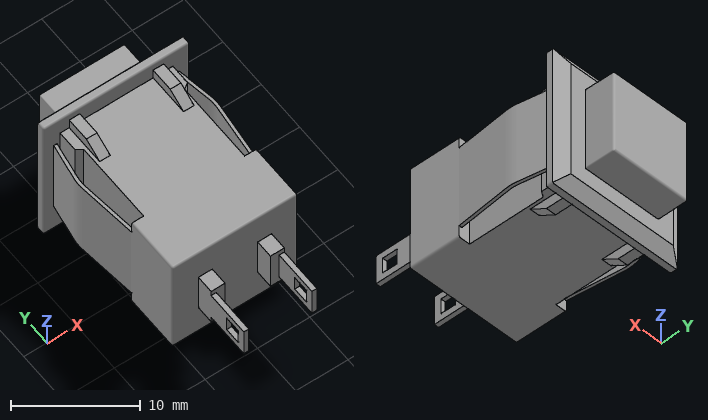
import cadquery as cq
import math


BEZEL_SIZE = 14.0
BEZEL_DEPTH = 1.5
BEZEL_BEVEL_DEPTH = 0.75
BEZEL_BEVEL_WIDTH = 1.27
EDGE_RADIUS = 0.2

BUTTON_SIZE = 8.2
BUTTON_HEIGHT = 3.1
BUTTON_FRONT_RADIUS = 0.2
BUTTON_SIDE_RADIUS = 0.1

HOUSING_LENGTH = 15.47
HOUSING_HEIGHT = 10.4
BASE_WIDTH = 11.99
BASE_LENGTH = 5.33
WAIST_WIDTH = 9.65
SHOULDER_WIDTH = 10.76
SHOULDER_LENGTH = 2.31
SHOULDER_STRAIGHT = 1.92
BASE_FRONT = BASE_LENGTH - HOUSING_LENGTH

RIB_WIDTH = 1.01
RIB_HEIGHT = 1.01
RIB_LENGTH = 3.98
RIB_STRAIGHT = 2.24
RIB_SPACING = 8.0

ARM_THICKNESS = 0.3
ARM_HEIGHT = 8.09
ARM_CREST_X = 6.63
ARM_CREST_Y = -4.1
ARM_BEND_RADIUS = 4.15

TERMINAL_SPAN = 7.0
TERMINAL_LENGTH = 5.93
STEM_WIDTH = 1.33
STEM_HEIGHT = 4.0
STEM_LENGTH = 1.66
BLADE_THICKNESS = 0.5
BLADE_HEIGHT = 2.9
EYE_SIZE = 1.5
EYE_MARGIN = 0.73

SIDES = (-1, 1)


def block(width, height, y_back, y_front):
    """Box centred on X and Z that reaches from y_back to y_front."""
    length = y_front - y_back
    return cq.Workplane("XY").box(width, length, height).translate((0, y_back + length / 2, 0))


def make_bezel():
    rim = block(BEZEL_SIZE, BEZEL_SIZE, 0, BEZEL_DEPTH)
    rim = rim.edges("|Y").fillet(EDGE_RADIUS).faces("<Y").edges().fillet(EDGE_RADIUS)

    shoulder_depth = BEZEL_DEPTH - BEZEL_BEVEL_DEPTH
    bevel_angle = math.degrees(math.atan2(BEZEL_BEVEL_WIDTH, BEZEL_BEVEL_DEPTH))
    bevel = (
        cq.Workplane("XZ", origin=(0, shoulder_depth, 0))
        .rect(BEZEL_SIZE, BEZEL_SIZE)
        .extrude(-BEZEL_BEVEL_DEPTH, taper=bevel_angle)
    )
    bevelled_plate = block(BEZEL_SIZE, BEZEL_SIZE, 0, shoulder_depth).union(bevel)
    return rim.intersect(bevelled_plate)


def make_button():
    button = block(BUTTON_SIZE, BUTTON_SIZE, BEZEL_DEPTH, BEZEL_DEPTH + BUTTON_HEIGHT)
    button = button.faces(">Y").edges().fillet(BUTTON_FRONT_RADIUS)
    return button.edges("|Y").fillet(BUTTON_SIDE_RADIUS)


def make_base():
    base = block(BASE_WIDTH, HOUSING_HEIGHT, -HOUSING_LENGTH, BASE_FRONT)
    return base.edges("|Y or <Y").fillet(EDGE_RADIUS)


def make_front_body():
    """Waist of the housing with the tapered shoulders behind the bezel."""
    waist_x = WAIST_WIDTH / 2
    shoulder_x = SHOULDER_WIDTH / 2
    half_outline = [
        (0, 0),
        (shoulder_x, 0),
        (shoulder_x, -SHOULDER_STRAIGHT),
        (waist_x, -SHOULDER_LENGTH),
        (waist_x, BASE_FRONT),
        (0, BASE_FRONT),
    ]
    half = cq.Workplane("XY").polyline(half_outline).close().extrude(HOUSING_HEIGHT / 2, both=True)
    return half.union(half.mirror("YZ"))


def make_upper_rib(x):
    """Ramped rib on top of the housing, centred at x."""
    z_root = HOUSING_HEIGHT / 2
    z_crest = z_root + RIB_HEIGHT
    profile = [(0, z_root), (0, z_crest), (-RIB_STRAIGHT, z_crest), (-RIB_LENGTH, z_root)]
    rib = cq.Workplane("YZ").polyline(profile).close().extrude(RIB_WIDTH / 2, both=True)
    return rib.translate((x, 0, 0))


def arm_tangent_angle(foot_y):
    """Angle at which the straight leg from foot_y runs into the bend of the arm."""
    foot_dx = BASE_WIDTH / 2 - (ARM_CREST_X - ARM_BEND_RADIUS)
    foot_dy = abs(foot_y - ARM_CREST_Y)
    return math.atan2(foot_dy, foot_dx) - math.acos(ARM_BEND_RADIUS / math.hypot(foot_dx, foot_dy))


def make_arm():
    """Snap arm on the +X side: two straight legs and a rounded bend of constant thickness."""
    foot_x = BASE_WIDTH / 2
    bend_x = ARM_CREST_X - ARM_BEND_RADIUS
    inner_radius = ARM_BEND_RADIUS - ARM_THICKNESS
    front_angle = arm_tangent_angle(0)
    rear_angle = -arm_tangent_angle(BASE_FRONT)

    def bend_point(radius, angle):
        return (bend_x + radius * math.cos(angle), ARM_CREST_Y + radius * math.sin(angle))

    front_inner_foot = (foot_x - ARM_THICKNESS / math.cos(front_angle), 0)
    rear_inner_foot = (foot_x - ARM_THICKNESS / math.cos(rear_angle), BASE_FRONT)
    return (
        cq.Workplane("XY")
        .moveTo(foot_x, 0)
        .lineTo(*bend_point(ARM_BEND_RADIUS, front_angle))
        .threePointArc(bend_point(ARM_BEND_RADIUS, 0), bend_point(ARM_BEND_RADIUS, rear_angle))
        .lineTo(foot_x, BASE_FRONT)
        .lineTo(*rear_inner_foot)
        .lineTo(*bend_point(inner_radius, rear_angle))
        .threePointArc(bend_point(inner_radius, 0), bend_point(inner_radius, front_angle))
        .lineTo(*front_inner_foot)
        .close()
        .extrude(ARM_HEIGHT / 2, both=True)
    )


def make_housing():
    arm = make_arm()
    housing = make_base().union(make_front_body())
    for side in SIDES:
        rib = make_upper_rib(side * RIB_SPACING / 2)
        housing = housing.union(rib).union(rib.mirror("XY"))
    return housing.union(arm).union(arm.mirror("YZ"))


def make_terminal(side):
    """Terminal whose outer face is flush over the stem and the blade; side is the sign of X."""
    stem_x = (TERMINAL_SPAN - STEM_WIDTH) / 2
    blade_x = (TERMINAL_SPAN - BLADE_THICKNESS) / 2
    root_y = -HOUSING_LENGTH
    tip_y = root_y - TERMINAL_LENGTH
    eye_y = tip_y + EYE_MARGIN

    stem = block(STEM_WIDTH, STEM_HEIGHT, root_y - STEM_LENGTH, root_y).translate((side * stem_x, 0, 0))
    blade = block(BLADE_THICKNESS, BLADE_HEIGHT, tip_y, root_y - STEM_LENGTH)
    eye = block(BLADE_THICKNESS, EYE_SIZE, eye_y, eye_y + EYE_SIZE)
    return stem.union(blade.cut(eye).translate((side * blade_x, 0, 0)))


bezel = make_bezel()
button = make_button()
housing = make_housing()
terminals = [make_terminal(side) for side in SIDES]

result = cq.Compound.makeCompound(
    [bezel.val(), button.val(), housing.val(), *[terminal.val() for terminal in terminals]]
)